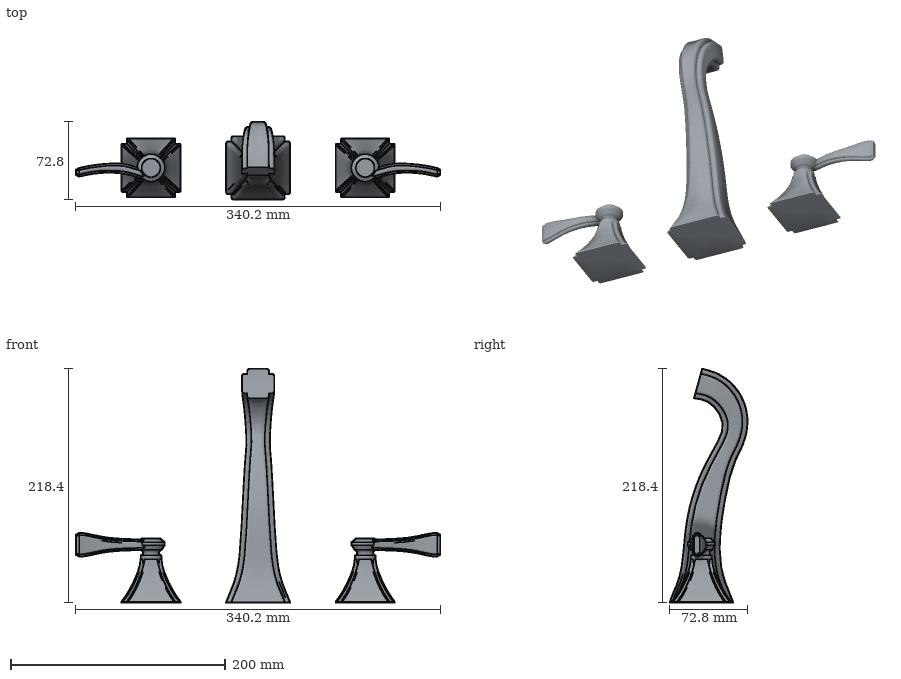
import cadquery as cq
import math


OVERALL_WIDTH = 340.24
HANDLE_SPACING = 100.0

SPOUT_BASE = 59.4
SPOUT_BASE_WIDTH = 60.0
SPOUT_HEIGHT = 218.4
SPOUT_NOTCH = 4.9
SPOUT_ROUND = 2.6

HANDLE_BASE = 55.2
LIP_HEIGHT = 0.8
PEDESTAL_NOTCH = 5.0
PEDESTAL_ROUND = 1.2
PEDESTAL_TOP = 40.5
COLLAR_RADIUS = 9.8
COLLAR_TOP = 44.3
NECK_RADIUS = 7.6
CAP_RADIUS = 12.9
CAP_BOTTOM = 49.2
CAP_TOP = 59.9
LEVER_REACH = OVERALL_WIDTH / 2 - HANDLE_SPACING
LEVER_MID_HEIGHT = 54.0
LEVER_NOTCH = 2.1
LEVER_ROUND = 1.7
LEVER_END_LENGTH = 3.0
LEVER_END_INSET = 1.6
LEVER_END_NOTCH = 1.3
LEVER_END_ROUND = 1.1


def notched_section(plane, half_u, half_v, notch, rounding):
    """Closed wire of a rectangle with a square notch in each corner and rounded outer edges."""
    arc_inset = rounding * (1 - math.sqrt(0.5))
    corner = [
        (half_u, half_v - notch - rounding),
        (half_u - arc_inset, half_v - notch - arc_inset),
        (half_u - rounding, half_v - notch),
        (half_u - notch, half_v - notch),
        (half_u - notch, half_v - rounding),
        (half_u - notch - arc_inset, half_v - arc_inset),
        (half_u - notch - rounding, half_v),
    ]
    outline = cq.Workplane(plane)
    for index, (sign_u, sign_v) in enumerate([(1, 1), (-1, 1), (-1, -1), (1, -1)]):
        points = [(sign_u * u, sign_v * v) for u, v in corner]
        if sign_u != sign_v:
            points.reverse()
        outline = outline.moveTo(*points[0]) if index == 0 else outline.lineTo(*points[0])
        outline = (
            outline.threePointArc(points[1], points[2])
            .lineTo(*points[3])
            .lineTo(*points[4])
            .threePointArc(points[5], points[6])
        )
    return outline.close().val()


SPOUT_STATIONS = [
    ((SPOUT_BASE / 2, 0), (-SPOUT_BASE / 2, 0), SPOUT_BASE_WIDTH / 2),
    ((25.0, 12), (-25.0, 12), 25.0),
    ((20.4, 25), (-20.4, 25), 20.7),
    ((17.3, 45), (-17.0, 46), 17.3),
    ((19.2, 78), (-12.6, 82), 15.1),
    ((23.8, 105), (-3.1, 114), 13.5),
    ((32.3, 134), (11.4, 143), 11.6),
    ((40.0, 151), (17.5, 155), 11.1),
    ((43.1, 171), (19.6, 168), 12.0),
    ((38.5, 190), (14.2, 180), 13.3),
    ((28.5, 204.3), (7.0, 186.8), 14.5),
    ((15.0, 213.8), (-0.2, 189.7), 15.0),
    ((0.7, SPOUT_HEIGHT), (-7.0, 190.7), 15.2),
]


def spout_section(back, front, half_width):
    """Cross-section in the plane through the back and front points."""
    depth = math.dist(back, front)
    middle = (0, (back[0] + front[0]) / 2, (back[1] + front[1]) / 2)
    along = ((back[0] - front[0]) / depth, (back[1] - front[1]) / depth)
    plane = cq.Plane(origin=middle, xDir=(1, 0, 0), normal=(0, -along[1], along[0]))
    return notched_section(plane, half_width, depth / 2, SPOUT_NOTCH, SPOUT_ROUND)


spout = cq.Workplane(cq.Solid.makeLoft([spout_section(*station) for station in SPOUT_STATIONS]))


def pedestal():
    """Flared square foot with notched corners, standing on a thin upright lip."""
    foot_half = HANDLE_BASE / 2
    stations = [
        (LIP_HEIGHT, foot_half, PEDESTAL_NOTCH),
        (10.0, 21.2, 4.5),
        (22.0, 15.0, 3.9),
        (34.0, 10.8, 3.6),
        (PEDESTAL_TOP, COLLAR_RADIUS + 0.1, 4.2),
    ]
    sections = []
    for height, half_width, notch in stations:
        plane = cq.Plane.XY(origin=(0, 0, height))
        sections.append(notched_section(plane, half_width, half_width, notch, PEDESTAL_ROUND))
    flare = cq.Workplane(cq.Solid.makeLoft(sections))

    foot = notched_section(cq.Plane.XY(), foot_half, foot_half, PEDESTAL_NOTCH, PEDESTAL_ROUND)
    lip = cq.Workplane(cq.Solid.extrudeLinear(foot, [], cq.Vector(0, 0, LIP_HEIGHT)))
    return lip.union(flare)


def hub():
    """Turned collar, waisted neck and bevelled, stepped cap."""
    collar_start = 30.0
    collar_round = 1.1
    round_inset = collar_round * (1 - math.sqrt(0.5))
    neck_foot = COLLAR_RADIUS - collar_round
    neck_top = CAP_BOTTOM - 0.8
    neck_waist_height = (COLLAR_TOP + neck_top) / 2
    rim_bottom = 53.6
    rim_top = 56.5
    step_radius = 11.0
    step_height = 57.8
    top_radius = 8.7
    return (
        cq.Workplane("XZ")
        .moveTo(0, collar_start)
        .lineTo(COLLAR_RADIUS - 0.6, collar_start)
        .lineTo(COLLAR_RADIUS, PEDESTAL_TOP - 4.5)
        .lineTo(COLLAR_RADIUS, COLLAR_TOP - collar_round)
        .threePointArc((COLLAR_RADIUS - round_inset, COLLAR_TOP - round_inset), (neck_foot, COLLAR_TOP))
        .threePointArc((NECK_RADIUS, neck_waist_height), (neck_foot, neck_top))
        .lineTo(COLLAR_RADIUS, CAP_BOTTOM)
        .lineTo(CAP_RADIUS, rim_bottom)
        .lineTo(CAP_RADIUS, rim_top)
        .lineTo(step_radius, step_height)
        .lineTo(top_radius, CAP_TOP)
        .lineTo(0, CAP_TOP)
        .close()
        .revolve(360, (0, 0, 0), (0, 1, 0))
    )


def lever_section(reach, middle, half_thickness, half_height, notch, rounding):
    """Upright cross-section of the lever at a distance from the hub axis."""
    plane = cq.Plane(origin=(-reach, middle, LEVER_MID_HEIGHT), xDir=(0, 1, 0), normal=(-1, 0, 0))
    return notched_section(plane, half_thickness, half_height, notch, rounding)


def lever():
    """Curved lever that widens to a paddle with a bevelled end, reaching toward -X."""
    stations = [
        (4.0, -6.0, 4.6, 4.6),
        (14.0, -3.8, 4.6, 5.2),
        (26.0, -0.9, 4.6, 5.6),
        (40.0, -0.3, 4.3, 6.7),
        (52.0, -1.3, 4.1, 8.8),
        (61.0, -2.8, 4.1, 10.7),
        (LEVER_REACH - LEVER_END_LENGTH, -4.2, 4.1, 11.0),
    ]
    blade = cq.Solid.makeLoft([lever_section(*station, LEVER_NOTCH, LEVER_ROUND) for station in stations])

    reach, middle, half_thickness, half_height = stations[-1]
    shoulder = lever_section(reach, middle, half_thickness, half_height, LEVER_NOTCH, LEVER_ROUND)
    end_face = lever_section(
        LEVER_REACH,
        middle,
        half_thickness - LEVER_END_INSET,
        half_height - LEVER_END_INSET,
        LEVER_END_NOTCH,
        LEVER_END_ROUND,
    )
    bevel = cq.Solid.makeLoft([shoulder, end_face], True)
    return cq.Workplane(blade).union(cq.Workplane(bevel))


left_handle = pedestal().union(hub()).union(lever()).translate((-HANDLE_SPACING, 0, 0))
right_handle = left_handle.mirror("YZ")

result = cq.Compound.makeCompound([spout.val(), left_handle.val(), right_handle.val()])